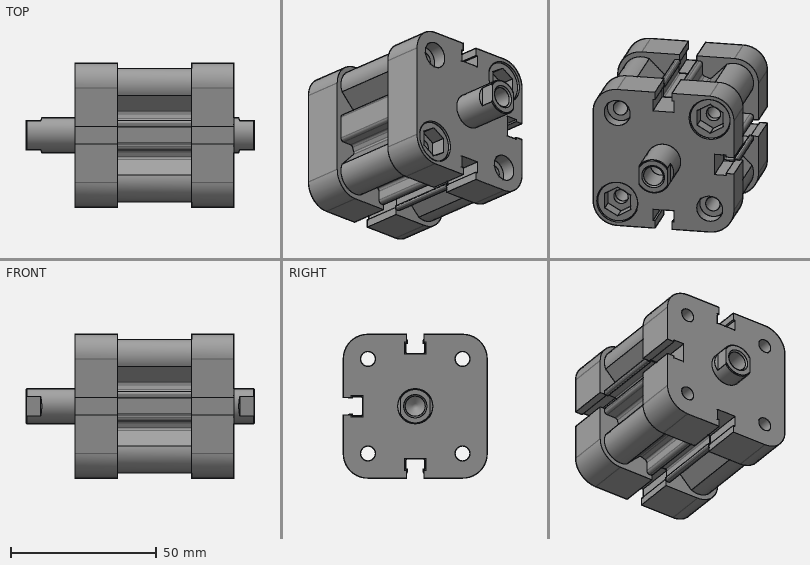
import cadquery as cq
import math

FRONT_CAP_LENGTH = 14.7
BARREL_LENGTH = 25.4
REAR_CAP_LENGTH = 14.5
ROD_FRONT_REACH = 16.8
ROD_TOTAL_LENGTH = 78.5
BARREL_START = FRONT_CAP_LENGTH
REAR_CAP_START = BARREL_START + BARREL_LENGTH
HOUSING_END = REAR_CAP_START + REAR_CAP_LENGTH

CAP_WIDTH = 49.5
CAP_HALF = CAP_WIDTH / 2
CAP_CORNER_RADIUS = 8.5
SIDES_WITH_SLOTS = (0, 90, 180)
CAP_SLOT_MOUTH_HALF = 3.0
CAP_SLOT_INNER_HALF = 3.7
CAP_SLOT_LIP_DEPTH = 2.75
CAP_SLOT_DEPTH = 6.8

BOLT_OFFSET = 16.25
COLUMN_RADIUS = 6.75
BARREL_HALF = BOLT_OFFSET + COLUMN_RADIUS
RAIL_HALF = 5.1
RAIL_CORNER_RADIUS = 1.2
VALLEY_HALF = 7.9
VALLEY_FILLET = 1.0
VALLEY_SLOPE = math.radians(20)
COLUMN_FLANK_INSET = 2.6
BARREL_SLOT_MOUTH_HALF = 2.75
BARREL_SLOT_INNER_HALF = 3.2
BARREL_SLOT_ROUNDING = 0.5
BARREL_SLOT_LIP = 1.4
BARREL_SLOT_DEPTH = 4.9

BOLT_BORE_RADIUS = 2.5
BOLT_RADIUS = 7.0
BOLT_POCKET_RADIUS = 7.2
BOLT_RECESS = 0.7
BOLT_LENGTH = 8.0
BOLT_HEX_WIDTH = 9.1
BOLT_HEX_DEPTH = 5.3
COUNTERBORE_RADIUS = 4.55
COUNTERBORE_DEPTH = 5.1
BOLT_CENTERS = [(-BOLT_OFFSET, BOLT_OFFSET), (BOLT_OFFSET, -BOLT_OFFSET)]
COUNTERBORE_CENTERS = [(BOLT_OFFSET, BOLT_OFFSET), (-BOLT_OFFSET, -BOLT_OFFSET)]

ROD_RADIUS = 6.05
ROD_CHAMFER = 0.3
ROD_FLAT_HALF = 5.0
ROD_FLAT_LENGTH = 5.0
ROD_FLAT_RUNOUT = 0.4
ROD_HOLE_RADIUS = 3.45
ROD_HOLE_MOUTH_RADIUS = 4.0
ROD_HOLE_DEPTH = 11.8
ROD_HOLE_TIP_ANGLE = math.radians(59)


def profile_plane(x):
    """Sketch plane across the rod axis: local x is Y, local y is Z, extrusion goes toward +X."""
    return cq.Workplane("YZ", origin=(x, 0, 0))


def trace_rounded(sketch, corners):
    """Draw an open path on through (y, z, radius) corners, rounding inner corners by tangent arcs."""
    for (y0, z0, _), (y, z, radius), (y1, z1, _) in zip(corners, corners[1:], corners[2:]):
        if not radius:
            sketch = sketch.lineTo(y, z)
            continue
        corner = cq.Vector(y, z)
        to_last = (cq.Vector(y0, z0) - corner).normalized()
        to_next = (cq.Vector(y1, z1) - corner).normalized()
        half_angle = to_last.getAngle(to_next) / 2
        trim = radius / math.tan(half_angle)
        bisector = (to_last + to_next).normalized()
        start = corner + to_last * trim
        middle = corner + bisector * (radius / math.sin(half_angle) - radius)
        end = corner + to_next * trim
        sketch = sketch.lineTo(start.x, start.y).threePointArc((middle.x, middle.y), (end.x, end.y))
    return sketch.lineTo(*corners[-1][:2])


def mirrored(half_corners):
    """Add the -Y half to corners that run along the +Y half."""
    return [(-y, z, radius) for y, z, radius in reversed(half_corners)] + half_corners


def cut_slots(body, slot):
    """Cut the +Z slot into every side that carries one."""
    for angle in SIDES_WITH_SLOTS:
        body = body.cut(slot.rotate((0, 0, 0), (1, 0, 0), angle))
    return body


def make_cap(start, length):
    cap = profile_plane(start).rect(CAP_WIDTH, CAP_WIDTH).extrude(length)
    cap = cap.edges("|X").fillet(CAP_CORNER_RADIUS)
    mouth = (
        profile_plane(start)
        .center(0, CAP_HALF - CAP_SLOT_DEPTH / 2)
        .rect(2 * CAP_SLOT_MOUTH_HALF, CAP_SLOT_DEPTH)
        .extrude(length)
    )
    inner_height = CAP_SLOT_DEPTH - CAP_SLOT_LIP_DEPTH
    inner = (
        profile_plane(start)
        .center(0, CAP_HALF - CAP_SLOT_DEPTH + inner_height / 2)
        .rect(2 * CAP_SLOT_INNER_HALF, inner_height)
        .extrude(length)
    )
    return cut_slots(cap, mouth.union(inner))


def barrel_side_corners():
    """Half of the +Z side: rail, sloping valley floor and 45 degree column flank."""
    flank_y = BOLT_OFFSET - COLUMN_FLANK_INSET
    flank_z = BOLT_OFFSET + math.sqrt(COLUMN_RADIUS**2 - COLUMN_FLANK_INSET**2)
    valley_z = flank_z - (flank_y - VALLEY_HALF)
    rail_foot_z = valley_z + (VALLEY_HALF - RAIL_HALF) * math.tan(VALLEY_SLOPE)
    return [
        (RAIL_HALF, BARREL_HALF, RAIL_CORNER_RADIUS),
        (RAIL_HALF, rail_foot_z, VALLEY_FILLET),
        (VALLEY_HALF, valley_z, VALLEY_FILLET),
        (flank_y, flank_z, 0),
    ]


def make_barrel_slot():
    clear_half = BARREL_SLOT_MOUTH_HALF + 2 * BARREL_SLOT_ROUNDING
    lip_z = BARREL_HALF - BARREL_SLOT_LIP
    floor_z = BARREL_HALF - BARREL_SLOT_DEPTH
    half = [
        (BARREL_SLOT_INNER_HALF, floor_z, BARREL_SLOT_ROUNDING),
        (BARREL_SLOT_INNER_HALF, lip_z, 0),
        (BARREL_SLOT_MOUTH_HALF, lip_z, 0),
        (BARREL_SLOT_MOUTH_HALF, BARREL_HALF, BARREL_SLOT_ROUNDING),
        (clear_half, BARREL_HALF, 0),
        (clear_half, CAP_HALF, 0),
    ]
    corners = mirrored(half)
    sketch = profile_plane(BARREL_START).moveTo(*corners[0][:2])
    return trace_rounded(sketch, corners).close().extrude(BARREL_LENGTH)


def make_barrel():
    side = mirrored(barrel_side_corners())
    column_tip = BOLT_OFFSET + COLUMN_RADIUS * math.sqrt(0.5)
    tip = (column_tip, column_tip)
    outline = profile_plane(BARREL_START).moveTo(*side[0][:2])
    for _ in range(4):
        outline = trace_rounded(outline, side)
        side = [(z, -y, radius) for y, z, radius in side]
        outline = outline.threePointArc(tip, side[0][:2])
        tip = (tip[1], -tip[0])
    return cut_slots(outline.close().extrude(BARREL_LENGTH), make_barrel_slot())


def make_housing():
    housing = (
        make_cap(0, FRONT_CAP_LENGTH)
        .union(make_barrel())
        .union(make_cap(REAR_CAP_START, REAR_CAP_LENGTH))
    )
    face = profile_plane(0)
    rod_bore = face.circle(ROD_RADIUS).extrude(HOUSING_END)
    corner_bores = (
        face.pushPoints(BOLT_CENTERS + COUNTERBORE_CENTERS)
        .circle(BOLT_BORE_RADIUS)
        .extrude(HOUSING_END)
    )
    bolt_pockets = (
        face.pushPoints(BOLT_CENTERS)
        .circle(BOLT_POCKET_RADIUS)
        .extrude(BOLT_RECESS + BOLT_LENGTH)
    )
    counterbores = (
        face.pushPoints(COUNTERBORE_CENTERS).circle(COUNTERBORE_RADIUS).extrude(COUNTERBORE_DEPTH)
    )
    return housing.cut(rod_bore).cut(corner_bores).cut(bolt_pockets).cut(counterbores)


def make_bolt(y, z):
    """Hollow bolt, seated in its pocket just below the cap face, with a hexagon socket."""
    face = profile_plane(BOLT_RECESS).center(y, z)
    bolt = face.circle(BOLT_RADIUS).circle(BOLT_BORE_RADIUS).extrude(BOLT_LENGTH)
    hex_socket = face.polygon(6, BOLT_HEX_WIDTH, circumscribed=True).extrude(BOLT_HEX_DEPTH)
    return bolt.cut(hex_socket)


def make_rod_end_cuts():
    """Two wrench flats and a countersunk blind hole, for a rod end at X = 0."""
    cuts = (
        cq.Workplane("XY", origin=(0, 0, -ROD_RADIUS))
        .polyline([
            (0, ROD_FLAT_HALF),
            (ROD_FLAT_LENGTH, ROD_FLAT_HALF),
            (ROD_FLAT_LENGTH + ROD_FLAT_RUNOUT, ROD_RADIUS),
            (0, ROD_RADIUS),
        ])
        .close()
        .extrude(2 * ROD_RADIUS)
    )
    cuts = cuts.union(cuts.mirror("XZ"))
    tip_length = ROD_HOLE_RADIUS / math.tan(ROD_HOLE_TIP_ANGLE)
    hole = (
        cq.Workplane("XY")
        .polyline([
            (0, 0),
            (0, ROD_HOLE_MOUTH_RADIUS),
            (ROD_HOLE_MOUTH_RADIUS - ROD_HOLE_RADIUS, ROD_HOLE_RADIUS),
            (ROD_HOLE_DEPTH, ROD_HOLE_RADIUS),
            (ROD_HOLE_DEPTH + tip_length, 0),
        ])
        .close()
        .revolve(360, (0, 0, 0), (1, 0, 0))
    )
    return cuts.union(hole)


def make_rod():
    rod = profile_plane(0).circle(ROD_RADIUS).extrude(ROD_TOTAL_LENGTH)
    rod = rod.faces("<X or >X").edges().chamfer(ROD_CHAMFER)
    end_cuts = make_rod_end_cuts()
    rod = rod.cut(end_cuts)
    rod = rod.cut(end_cuts.mirror("YZ").translate((ROD_TOTAL_LENGTH, 0, 0)))
    return rod.translate((-ROD_FRONT_REACH, 0, 0))


housing = make_housing()
rod = make_rod()
bolts = [make_bolt(y, z) for y, z in BOLT_CENTERS]

result = cq.Compound.makeCompound([housing.val(), rod.val(), *[bolt.val() for bolt in bolts]])